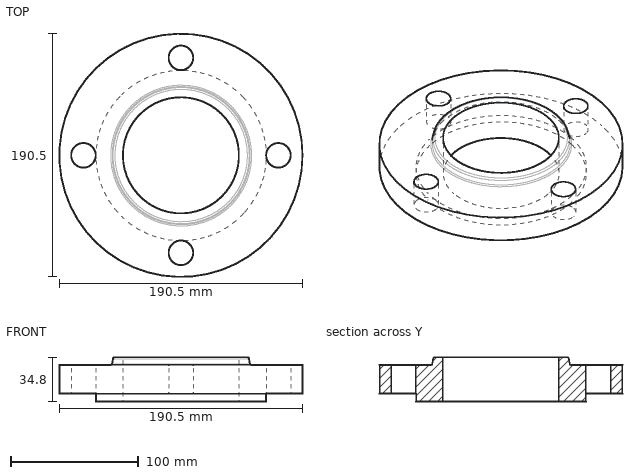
import cadquery as cq
import math

flange_diameter = 190.5
flange_thickness = 22.5

raised_face_diameter = 133.3
raised_face_height = 6.3

hub_base_diameter = 108.4
hub_height = 6.0
hub_taper_angle = 10.0
hub_root_radius = 1.1
hub_rim_radius = 1.5

bore_diameter = 90.7
bolt_hole_diameter = 19.0
bolt_circle_diameter = 152.5
bolt_hole_count = 4

flange_bottom = raised_face_height
flange_top = flange_bottom + flange_thickness
hub_top = flange_top + hub_height
hub_base_radius = hub_base_diameter / 2
hub_top_radius = hub_base_radius - hub_height * math.tan(math.radians(hub_taper_angle))


def flange_body():
    """Revolve the solid stepped profile about Z, with its raised face on Z = 0."""
    profile = (
        cq.Workplane("XZ")
        .lineTo(raised_face_diameter / 2, 0)
        .lineTo(raised_face_diameter / 2, flange_bottom)
        .lineTo(flange_diameter / 2, flange_bottom)
        .lineTo(flange_diameter / 2, flange_top)
        .lineTo(hub_base_radius, flange_top)
        .lineTo(hub_top_radius, hub_top)
        .lineTo(0, hub_top)
        .close()
    )
    return profile.revolve(360, (0, 0, 0), (0, 1, 0))


def round_hub(body):
    """Round the hub's outer rim and blend its root into the disc."""
    body = body.faces(">Z").edges().fillet(hub_rim_radius)
    disc_top_face = body.faces("|Z").faces(">Z[-2]")
    return disc_top_face.edges(cq.selectors.RadiusNthSelector(0)).fillet(hub_root_radius)


def cut_holes(body):
    """Cut the central bore and the ring of bolt holes right through."""
    body = body.faces(">Z").workplane().hole(bore_diameter)
    return (
        body.faces(">Z")
        .workplane()
        .polarArray(bolt_circle_diameter / 2, 0, 360, bolt_hole_count)
        .hole(bolt_hole_diameter)
    )


result = cut_holes(round_hub(flange_body()))